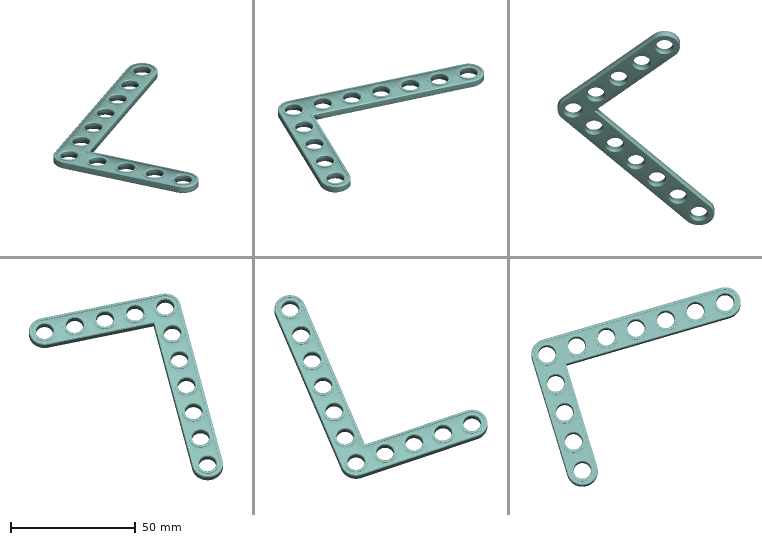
import cadquery as cq

length = 87.5
long_arm_holes = 7
short_arm_holes = 5
hole_diameter = 7.0
collar_diameter = 9.2
edge_chamfer = 0.3
rim_width = 1.05
recess_depth = 0.245

pitch = length / long_arm_holes
arm_radius = pitch / 2
thickness = pitch / 4
long_span = (long_arm_holes - 1) * pitch
short_span = (short_arm_holes - 1) * pitch

hole_centers = [(0, row * pitch) for row in range(long_arm_holes)]
hole_centers += [(column * pitch, 0) for column in range(1, short_arm_holes)]


def l_prism(radius, bottom, height):
    """L-shaped prism with round arm ends and a round outer corner; each arm is 2 * radius wide."""
    return (
        cq.Workplane("XY", origin=(0, 0, bottom))
        .moveTo(0, -radius)
        .lineTo(short_span, -radius)
        .threePointArc((short_span + radius, 0), (short_span, radius))
        .lineTo(radius, radius)
        .lineTo(radius, long_span)
        .threePointArc((0, long_span + radius), (-radius, long_span))
        .lineTo(-radius, 0)
        .radiusArc((0, -radius), -radius)
        .close()
        .extrude(height)
    )


def hole_cylinders(diameter, bottom, height):
    """One cylinder on every hole centre."""
    return (
        cq.Workplane("XY", origin=(0, 0, bottom))
        .pushPoints(hole_centers)
        .circle(diameter / 2)
        .extrude(height)
    )


def top_recess():
    """Shallow pocket in the top face that leaves an outer rim and a collar round each hole."""
    floor = thickness - recess_depth
    pocket = l_prism(arm_radius - rim_width, floor, recess_depth)
    return pocket.cut(hole_cylinders(collar_diameter, floor, recess_depth))


plate = l_prism(arm_radius, 0, thickness)
plate = plate.cut(hole_cylinders(hole_diameter, 0, thickness))
plate = plate.faces("<Z or >Z").chamfer(edge_chamfer)

result = plate.cut(top_recess())